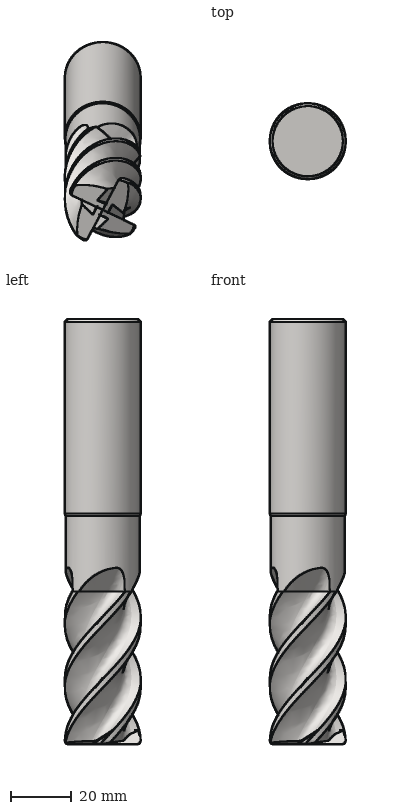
import cadquery as cq
import math

TOTAL_LENGTH = 140.0
CUTTER_RADIUS = 25.0 / 2
TOOTH_COUNT = 4
TOOTH_STEP = 360 / TOOTH_COUNT

SHANK_CHAMFER = 1.0
NECK_INSET = 0.3
NECK_TOP = 75.2
NECK_STEP = 0.8
NECK_RADIUS = CUTTER_RADIUS - NECK_INSET

CUTTING_LENGTH = 50.4
HELIX_LEAD = 82.0
TWIST = 360 * CUTTING_LENGTH / HELIX_LEAD
CORNER_RADIUS = 1.4

TOP_START_ANGLE = -132.0
HEEL_RADIUS = 7.3
HEEL_ANGLE = 49.0
RELIEF_MIDDLE_RADIUS = 9.7
RELIEF_MIDDLE_ANGLE = 18.0
FLOOR_RADIUS = 7.5
FLOOR_ANGLE = 68.0
RAKE_FOOT_RADIUS = 9.5
RAKE_FOOT_ANGLE = 77.0
EDGE_ANGLE = 79.0

OUTSIDE_REACH = 1.4

RUNOUT_SLOPE = 0.7
RUNOUT_HEIGHT = 14.0

END_RELIEF_RISE = 2.2
GASH_WIDTH = 3.6
GASH_HEIGHT = 4.8
GASH_UNDERCUT = 4.2
GASH_INNER = 2.1


def polar(radius, angle):
    """Point in the XY plane at a radius and an angle in degrees."""
    return cq.Vector(
        radius * math.cos(math.radians(angle)),
        radius * math.sin(math.radians(angle)),
    )


def xy(point):
    return (point.x, point.y)


def outside_points(start_angle):
    """Ends of a flute outline, carried past the tool diameter on its relief and rake sides."""
    land_end = polar(CUTTER_RADIUS, start_angle)
    heel = polar(HEEL_RADIUS, start_angle + HEEL_ANGLE)
    relief_outside = land_end + (land_end - heel).normalized() * OUTSIDE_REACH
    edge_outside = polar(CUTTER_RADIUS + OUTSIDE_REACH, start_angle + EDGE_ANGLE)
    return relief_outside, edge_outside


def draw_flute(outline, start_angle):
    """Add one flute: convex relief, concave floor and straight rake face."""
    _, edge_outside = outside_points(start_angle)
    return (
        outline.threePointArc(
            xy(polar(RELIEF_MIDDLE_RADIUS, start_angle + RELIEF_MIDDLE_ANGLE)),
            xy(polar(HEEL_RADIUS, start_angle + HEEL_ANGLE)),
        )
        .threePointArc(
            xy(polar(FLOOR_RADIUS, start_angle + FLOOR_ANGLE)),
            xy(polar(RAKE_FOOT_RADIUS, start_angle + RAKE_FOOT_ANGLE)),
        )
        .lineTo(*xy(edge_outside))
    )


def tooth_section(first_angle):
    """Closed star outline of all the teeth, with tips outside the tool diameter."""
    outline = cq.Workplane("XY").moveTo(*xy(outside_points(first_angle)[0]))
    for tooth in range(TOOTH_COUNT):
        start_angle = first_angle + tooth * TOOTH_STEP
        if tooth > 0:
            outline = outline.lineTo(*xy(outside_points(start_angle)[0]))
        outline = draw_flute(outline, start_angle)
    return outline.close()


def end_tooth_cutter(edge_angle):
    """Relief wedge behind one end cutting edge and gash in front of the next one."""
    relief = (
        cq.Workplane("YZ")
        .polyline([(0, 0), (CUTTER_RADIUS, 0), (CUTTER_RADIUS, END_RELIEF_RISE)])
        .close()
        .extrude(CUTTER_RADIUS)
    )
    gash = (
        cq.Workplane("XZ", origin=(0, GASH_INNER, 0))
        .polyline([(0, 0), (GASH_WIDTH, 0), (-GASH_UNDERCUT, GASH_HEIGHT)])
        .close()
        .extrude(-CUTTER_RADIUS)
    )
    return relief.union(gash).rotate((0, 0, 0), (0, 0, 1), edge_angle)


def make_cutter():
    """Fluted cutting end with rounded corners and ground end teeth."""
    bottom_start_angle = TOP_START_ANGLE - TWIST
    cutter = tooth_section(bottom_start_angle).twistExtrude(CUTTING_LENGTH, TWIST)
    envelope = (
        cq.Workplane("XY")
        .circle(CUTTER_RADIUS)
        .extrude(CUTTING_LENGTH)
        .faces("<Z")
        .edges()
        .fillet(CORNER_RADIUS)
    )
    cutter = envelope.intersect(cutter)
    for tooth in range(TOOTH_COUNT):
        edge_angle = bottom_start_angle + EDGE_ANGLE + tooth * TOOTH_STEP
        cutter = cutter.cut(end_tooth_cutter(edge_angle))
    return cutter


def flute_runout(start_angle):
    """Flute space carried straight up and outward until it leaves the neck."""
    relief_outside, edge_outside = outside_points(start_angle)
    outward = polar(1, start_angle + EDGE_ANGLE)
    section = cq.Workplane("XY").moveTo(*xy(relief_outside))
    section = (
        draw_flute(section, start_angle)
        .lineTo(*xy(edge_outside + outward * CUTTER_RADIUS))
        .lineTo(*xy(relief_outside + outward * CUTTER_RADIUS))
        .close()
    )
    face = cq.Face.makeFromWires(section.val()).translate(cq.Vector(0, 0, CUTTING_LENGTH))
    path = outward * (RUNOUT_SLOPE * RUNOUT_HEIGHT) + cq.Vector(0, 0, RUNOUT_HEIGHT)
    return cq.Workplane(cq.Solid.extrudeLinear(face, path))


def make_shank():
    """Chamfered shank and slightly thinner neck with the flute run-outs."""
    shank = (
        cq.Workplane("XZ")
        .polyline([
            (0, CUTTING_LENGTH),
            (NECK_RADIUS, CUTTING_LENGTH),
            (NECK_RADIUS, NECK_TOP),
            (CUTTER_RADIUS, NECK_TOP + NECK_STEP),
            (CUTTER_RADIUS, TOTAL_LENGTH - SHANK_CHAMFER),
            (CUTTER_RADIUS - SHANK_CHAMFER, TOTAL_LENGTH),
            (0, TOTAL_LENGTH),
        ])
        .close()
        .revolve(360, (0, 0, 0), (0, 1, 0))
    )
    for tooth in range(TOOTH_COUNT):
        shank = shank.cut(flute_runout(TOP_START_ANGLE + tooth * TOOTH_STEP))
    return shank


cutter = make_cutter()
shank = make_shank()

result = cq.Compound.makeCompound([*cutter.solids().vals(), *shank.solids().vals()])